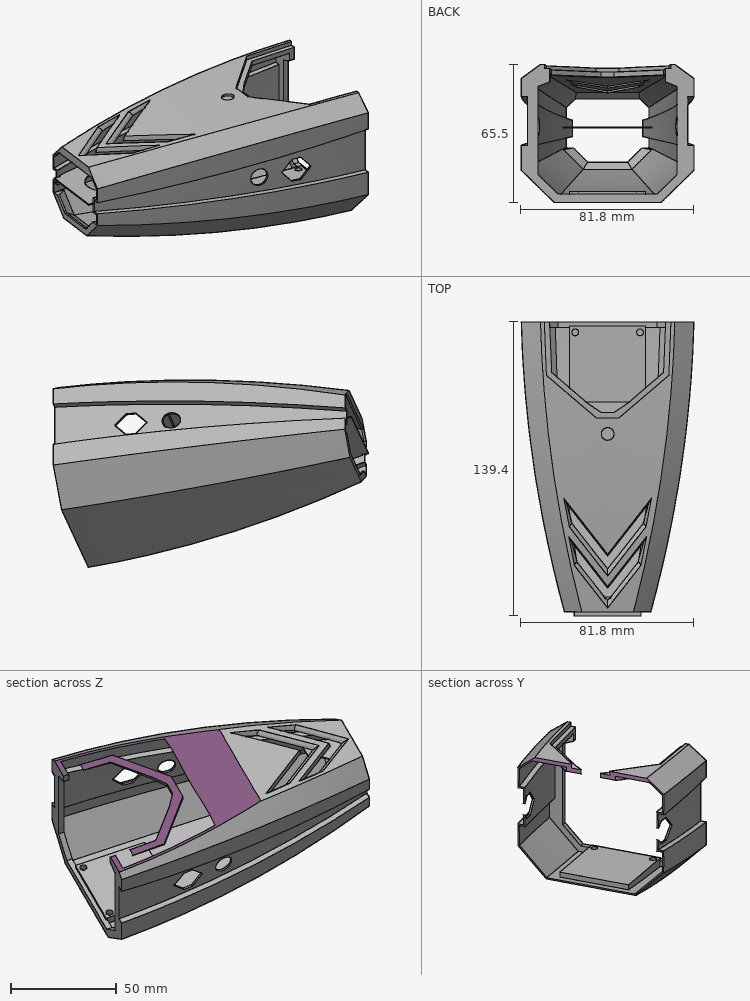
import cadquery as cq
import math

LENGTH = 137.3

STATIONS = 7

CLEARANCE = 1.4

BODY_SLOPE = 0.17
GROOVE_BOTTOM_SLOPE = 0.4
GROOVE_TOP_SLOPE = 1.0

REAR_HEIGHT, NOSE_TOP = 65.5, 53.4
REAR_WIDTH, NOSE_WIDTH = 81.8, 41.0
REAR_HALF_WIDTH, NOSE_HALF_WIDTH = REAR_WIDTH / 2, NOSE_WIDTH / 2
REAR_FLOOR_HALF, NOSE_FLOOR_HALF = 25.2, 10.7
REAR_ROOF_HALF, NOSE_ROOF_HALF = 31.8, 12.3
NOSE_BOTTOM = 16.2
REAR_LOW_CORNER, NOSE_LOW_CORNER = 15.3, 25.9
REAR_HIGH_CORNER, NOSE_HIGH_CORNER = 58.8, 45.5
REAR_GROOVE_BOTTOM, NOSE_GROOVE_BOTTOM = 27.2, 32.2
REAR_GROOVE_TOP, NOSE_GROOVE_TOP = 50.2, 38.0
GROOVE_DEPTH = 2.9

WALL = 1.0
ROOF = 2.2

REAR_RIM_LENGTH = 2.8
NOSE_RIM_LENGTH = 1.0
NOSE_RIM_TAPER_END = 6.3
NOSE_RIM = 3.0
NOSE_RIM_ROOF = 4.3
REAR_RIM_FLOOR = 4.0
REAR_RIM_HALF_WIDTH = 32.9
REAR_RIM_FLOOR_HALF = 23.4
REAR_RIM_ROOF = 57.2
REAR_RIM_ROOF_HALF = 27.5
REAR_RIM_SHOULDER = 55.0

LEDGE_DEPTH = 2.0
LEDGE_BOTTOM_DEPTH = 4.3
LEDGE_MARGIN = 1.4
LEDGE_OUTLINE = [(30.0, LENGTH), (29.0, 112.0), (5.5, 91.9)]
OPENING_OUTLINE = [(27.5, LENGTH), (26.5, 113.3), (9.6, 98.8), (3.0, 94.4)]

ROOF_HOLE_DIAMETER = 6.0
ROOF_HOLE_Y = 84.2
ROOF_HOLE_DEPTH = 1.0

VENTS = [(27.2, 20.8), (12.0, 18.4)]
VENT_LENGTH = 10.2
VENT_SWEEP = 1.28
VENT_END_TAPER = 2.6
VENT_BEVEL_DEPTH = 1.1
VENT_THROAT_DEPTH = 2.8
VENT_BEVEL_INSET = (0.3, 1.32, 0.7)
VENT_THROAT_INSET = (0.63, 2.5, 1.8)

SIDE_HOLE_Z = 36.1
SIDE_HOLE_DIAMETER = 8.6
SIDE_HOLE_Y = 81.4
WINDOW_Y = 100.6
WINDOW_LENGTH = 15.3
WINDOW_HEIGHT = 11.7
WINDOW_FLAT = 4.6

PAD_HALF_WIDTH = 18.0
PAD_FRONT, PAD_REAR = 99.4, 135.2
PAD_TOP = 5.3
PAD_HOLE_DIAMETER = 3.2
PAD_HOLE_X, PAD_HOLE_Y = 15.3, 132.3

TONGUE_REACH = 2.1
TONGUE_HALF_WIDTH = 15.9
TONGUE_Z = 35.5
TONGUE_THICKNESS = 0.5
TONGUE_REAR = 17.4
TONGUE_NOTCH_RADIUS = 10.5


def between(rear, nose, y, slope=BODY_SLOPE):
    """Value that runs from rear to nose along the cowl, falling faster towards the nose."""
    t = 1 - y / LENGTH
    return rear + (nose - rear) * (slope * t + (1 - slope) * t * t)


def outer_half(y):
    """Right half of the outer cross-section, from the floor centre to the roof centre."""
    side = between(REAR_HALF_WIDTH, NOSE_HALF_WIDTH, y)
    groove = side - GROOVE_DEPTH
    floor = between(0, NOSE_BOTTOM, y)
    roof = between(REAR_HEIGHT, NOSE_TOP, y)
    groove_bottom = between(REAR_GROOVE_BOTTOM, NOSE_GROOVE_BOTTOM, y, GROOVE_BOTTOM_SLOPE)
    groove_top = between(REAR_GROOVE_TOP, NOSE_GROOVE_TOP, y, GROOVE_TOP_SLOPE)
    return [
        (0, floor),
        (between(REAR_FLOOR_HALF, NOSE_FLOOR_HALF, y), floor),
        (side, between(REAR_LOW_CORNER, NOSE_LOW_CORNER, y)),
        (side, groove_bottom),
        (groove, groove_bottom),
        (groove, groove_top),
        (side, groove_top),
        (side, between(REAR_HIGH_CORNER, NOSE_HIGH_CORNER, y)),
        (between(REAR_ROOF_HALF, NOSE_ROOF_HALF, y), roof),
        (0, roof),
    ]


def inset(points, distances):
    """Moves each edge of an open, counterclockwise chain inwards; the two ends keep their x."""
    lines = []
    for (ax, az), (bx, bz), d in zip(points, points[1:], distances):
        length = math.hypot(bx - ax, bz - az)
        nx, nz = -(bz - az) / length, (bx - ax) / length
        lines.append((nx, nz, nx * ax + nz * az + d))
    lines = [(1, 0, points[0][0])] + lines + [(1, 0, points[-1][0])]
    moved = []
    for (a, b, c), (d, e, f) in zip(lines, lines[1:]):
        det = a * e - b * d
        moved.append(((c * e - b * f) / det, (a * f - c * d) / det))
    return moved


def inner_half(y):
    """Right half of the cavity cross-section."""
    return inset(outer_half(y), [WALL] * 8 + [ROOF])


def mirrored(half):
    """Closes a right half chain that starts and ends on the centre line."""
    return half + [(-x, z) for x, z in reversed(half[1:-1])]


def mid_wall_half(y):
    """Right half of a section inside the wall, so that added ribs overlap the shell."""
    return inset(outer_half(y), [WALL / 2] * 9)


def section_wire(half, y):
    """Closed wire of a whole cross-section."""
    return cq.Wire.makePolygon([cq.Vector(x, y, z) for x, z in mirrored(half)], close=True)


def lofted(half_at, start, end):
    """Smooth solid through the cross-sections between two places along Y."""
    stations = [start + (end - start) * i / (STATIONS - 1) for i in range(STATIONS)]
    return cq.Workplane(obj=cq.Solid.makeLoft([section_wire(half_at(y), y) for y in stations]))


def prism_y(half, start, end):
    """Straight prism along Y on a mirrored cross-section."""
    face = cq.Face.makeFromWires(section_wire(half, start))
    return cq.Workplane(obj=cq.Solid.extrudeLinear(face, cq.Vector(0, end - start, 0)))


def prism_z(outline, bottom, top):
    """Vertical prism on a closed plan outline."""
    return cq.Workplane().workplane(offset=bottom).polyline(outline).close().extrude(top - bottom)


def box(x, y, z):
    """Box from (min, max) pairs."""
    size = [b - a for a, b in (x, y, z)]
    return cq.Workplane().box(*size, centered=False).translate((x[0], y[0], z[0]))


def rear_rim():
    """Ring filling the cavity at the large end, around a plain eight-sided mouth."""
    slant_low = REAR_LOW_CORNER / (REAR_HALF_WIDTH - REAR_FLOOR_HALF)
    mouth = [
        (0, REAR_RIM_FLOOR),
        (REAR_RIM_FLOOR_HALF, REAR_RIM_FLOOR),
        (REAR_RIM_HALF_WIDTH, REAR_RIM_FLOOR + slant_low * (REAR_RIM_HALF_WIDTH - REAR_RIM_FLOOR_HALF)),
        (REAR_RIM_HALF_WIDTH, REAR_RIM_SHOULDER),
        (REAR_RIM_ROOF_HALF, REAR_RIM_ROOF),
        (0, REAR_RIM_ROOF),
    ]
    start = LENGTH - REAR_RIM_LENGTH
    return lofted(mid_wall_half, start, LENGTH).cut(prism_y(mouth, start, LENGTH))


def nose_mouth(y, low_wall, roof_wall):
    """Right half of the opening inside the nose rim, stepped at the lower side corner."""
    mouth = inset(outer_half(y), [low_wall, low_wall] + [WALL] * 6 + [roof_wall])
    (floor_x, floor_z), (side_x, side_z) = mouth[1:3]
    step_z = between(REAR_LOW_CORNER, NOSE_LOW_CORNER, y)
    step_x = floor_x + (side_x - floor_x) * (step_z - floor_z) / (side_z - floor_z)
    mouth[2:3] = [(step_x, step_z), (side_x, step_z)]
    return mouth


def nose_rim():
    """Thicker floor, lower slants and roof at the small end, tapering back to the plain wall."""
    mouth = nose_mouth(0, NOSE_RIM, NOSE_RIM_ROOF)
    plain = nose_mouth(NOSE_RIM_TAPER_END, WALL, ROOF)
    ends = [section_wire(mouth, NOSE_RIM_LENGTH), section_wire(plain, NOSE_RIM_TAPER_END)]
    ring = lofted(mid_wall_half, 0, NOSE_RIM_TAPER_END).cut(prism_y(mouth, 0, NOSE_RIM_LENGTH))
    return ring.cut(cq.Workplane(obj=cq.Solid.makeLoft(ends, True)))


def pad():
    """Flat-topped pad that follows the floor below, with two holes down to the floor."""
    body = box((-PAD_HALF_WIDTH, PAD_HALF_WIDTH), (PAD_FRONT, PAD_REAR), (0, PAD_TOP))
    body = body.intersect(lofted(mid_wall_half, PAD_FRONT, PAD_REAR))
    holes = [(PAD_HOLE_X, PAD_HOLE_Y), (-PAD_HOLE_X, PAD_HOLE_Y)]
    return body.cut(cq.Workplane().pushPoints(holes).circle(PAD_HOLE_DIAMETER / 2).extrude(PAD_TOP))


def tongue():
    """Thin plate held by the side rails, standing out of the nose, with a round notch behind."""
    z = (TONGUE_Z - TONGUE_THICKNESS / 2, TONGUE_Z + TONGUE_THICKNESS / 2)
    plate = box((-TONGUE_HALF_WIDTH, TONGUE_HALF_WIDTH), (-TONGUE_REACH, TONGUE_REAR), z)
    seat = box((-REAR_HALF_WIDTH, REAR_HALF_WIDTH), (NOSE_RIM_LENGTH, TONGUE_REAR), z)
    seat = seat.intersect(lofted(mid_wall_half, NOSE_RIM_LENGTH, TONGUE_REAR))
    notch = cq.Workplane().center(0, TONGUE_REAR).circle(TONGUE_NOTCH_RADIUS).extrude(REAR_HEIGHT)
    return plate.union(seat).cut(notch)


def both_sides(outline):
    """Closes the right half of a plan outline with its mirror image."""
    return outline + [(-x, y) for x, y in reversed(outline)]


def roof_layer(outline, upper_depth, lower_depth):
    """Layer between two depths under the roof surface, inside a plan outline."""
    def layer(y):
        roof = between(REAR_HEIGHT, NOSE_TOP, y)
        high, low = roof - upper_depth, roof - lower_depth
        return [(0, low), (REAR_HALF_WIDTH, low), (REAR_HALF_WIDTH, high), (0, high)]

    front = min(y for _, y in outline)
    return lofted(layer, front, LENGTH).intersect(prism_z(both_sides(outline), 0, REAR_HEIGHT + CLEARANCE))


def vent(rear_y, half_width):
    """Chevron cutter with a wide bevel at the roof surface and steeper walls below it."""
    front_y = rear_y - VENT_LENGTH
    tip_y = rear_y + VENT_SWEEP * half_width
    front_z = between(REAR_HEIGHT, NOSE_TOP, front_y)
    pitch = (between(REAR_HEIGHT, NOSE_TOP, tip_y) - front_z) / (tip_y - front_y)
    slant = math.hypot(1, VENT_SWEEP)

    def outline(insets, depth):
        """Inset chevron on a plane parallel to the roof."""
        rear, front, end = insets
        back = rear_y - rear * slant
        ahead = front_y + front * slant
        tip = half_width - end
        corner = tip - VENT_END_TAPER
        plan = [
            (0, ahead),
            (corner, ahead + VENT_SWEEP * corner),
            (tip, back + VENT_SWEEP * tip),
            (0, back),
            (-tip, back + VENT_SWEEP * tip),
            (-corner, ahead + VENT_SWEEP * corner),
        ]
        corners = [cq.Vector(x, y, front_z + pitch * (y - front_y) - depth) for x, y in plan]
        return cq.Wire.makePolygon(corners, close=True)

    flush = (0, 0, 0)
    wires = [
        outline(flush, -CLEARANCE),
        outline(flush, 0),
        outline(VENT_BEVEL_INSET, VENT_BEVEL_DEPTH),
        outline(VENT_THROAT_INSET, VENT_THROAT_DEPTH),
    ]
    return cq.Workplane(obj=cq.Solid.makeLoft(wires, True))


def side_holes():
    """Round hole and stretched hexagon, both through the two side walls."""
    across = cq.Workplane("YZ", origin=(-REAR_HALF_WIDTH, 0, SIDE_HOLE_Z))
    hexagon = [
        (WINDOW_LENGTH / 2, 0),
        (WINDOW_FLAT / 2, WINDOW_HEIGHT / 2),
        (-WINDOW_FLAT / 2, WINDOW_HEIGHT / 2),
        (-WINDOW_LENGTH / 2, 0),
        (-WINDOW_FLAT / 2, -WINDOW_HEIGHT / 2),
        (WINDOW_FLAT / 2, -WINDOW_HEIGHT / 2),
    ]
    hole = across.center(SIDE_HOLE_Y, 0).circle(SIDE_HOLE_DIAMETER / 2).extrude(REAR_WIDTH)
    window = across.center(WINDOW_Y, 0).polyline(hexagon).close().extrude(REAR_WIDTH)
    return hole.union(window)


result = lofted(outer_half, 0, LENGTH).cut(lofted(inner_half, 0, LENGTH))
ledge_lip_outline = [(x + LEDGE_MARGIN, y - LEDGE_MARGIN) for x, y in LEDGE_OUTLINE]
ledge_lip = roof_layer(ledge_lip_outline, WALL, LEDGE_BOTTOM_DEPTH)
for addition in (rear_rim(), nose_rim(), pad(), tongue(), ledge_lip):
    result = result.union(addition)

result = result.cut(roof_layer(LEDGE_OUTLINE, -CLEARANCE, LEDGE_DEPTH))
result = result.cut(prism_z(both_sides(OPENING_OUTLINE), REAR_HEIGHT / 2, REAR_HEIGHT))
roof_hole_floor = between(REAR_HEIGHT, NOSE_TOP, ROOF_HOLE_Y) - ROOF_HOLE_DEPTH
roof_hole = cq.Workplane(origin=(0, ROOF_HOLE_Y, roof_hole_floor)).circle(ROOF_HOLE_DIAMETER / 2)
result = result.cut(roof_hole.extrude(REAR_HEIGHT))
for rear_y, half_width in VENTS:
    result = result.cut(vent(rear_y, half_width))
result = result.cut(side_holes())